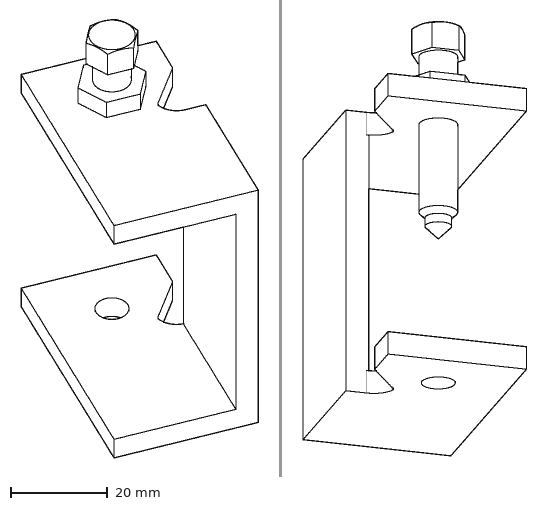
import cadquery as cq
import math

length = 53.0
depth = 32.0
height = 62.0
thickness = 5.0
web_length = 29.95
web_start = length - web_length
tongue_depth = 29.95

notch_start = 9.35
notch_radius = 5.0
notch_center_x = web_start - notch_radius
notch_center_y = 27.45
notch_corner_angle = -74.0
notch_fillet = 1.25

screw_x = 13.0
screw_y = 15.05
screw_diameter = 8.0
lower_hole_diameter = 7.0
top = 78.0
head_width = 10.0
head_height = 6.0
head_corner_drop = 0.55
head_chamfer_angle = 30.0
shank_end = 37.7
dog_diameter = 5.5
end_taper = (screw_diameter - dog_diameter) / 2
dog_start = shank_end - end_taper
cone_start = 34.55
tip_z = cone_start - dog_diameter / 2

nut_width = 13.0
nut_height = 4.05


def hex_prism(width, base_z, prism_height):
    """Hexagonal prism on the screw axis with its corners pointing along Y."""
    corner_diameter = width / math.cos(math.radians(30))
    return (
        cq.Workplane("XY")
        .polygon(6, corner_diameter)
        .extrude(prism_height)
        .rotate((0, 0, 0), (0, 0, 1), 30)
        .translate((screw_x, screw_y, base_z))
    )


def screw_cylinder(diameter, base_z, cylinder_height):
    """Cylinder on the screw axis."""
    return (
        cq.Workplane("XY", origin=(screw_x, screw_y, base_z))
        .circle(diameter / 2)
        .extrude(cylinder_height)
    )


def notch_arc_point(angle):
    """Point on the notch arc at an angle in degrees from +X."""
    return (
        notch_center_x + notch_radius * math.cos(math.radians(angle)),
        notch_center_y + notch_radius * math.sin(math.radians(angle)),
    )


def make_bracket():
    corner = notch_arc_point(notch_corner_angle)
    profile = (
        cq.Workplane("XY")
        .lineTo(length, 0)
        .lineTo(length, depth)
        .lineTo(web_start, depth)
        .lineTo(*notch_arc_point(0))
        .threePointArc(notch_arc_point(notch_corner_angle / 2), corner)
        .lineTo(notch_start, tongue_depth)
        .lineTo(0, tongue_depth)
        .close()
        .extrude(height)
    )
    body = profile.edges(cq.NearestToPointSelector((*corner, height / 2))).fillet(notch_fillet)

    inner_height = height - 2 * thickness
    front_gap = cq.Workplane("XY").box(length, depth - thickness, inner_height, centered=False)
    side_gap = cq.Workplane("XY").box(web_start, depth, inner_height, centered=False)
    body = body.cut(front_gap.union(side_gap).translate((0, 0, thickness)))

    upper_hole = screw_cylinder(screw_diameter, height - thickness, thickness)
    lower_hole = screw_cylinder(lower_hole_diameter, 0, thickness)
    return body.cut(upper_hole).cut(lower_hole)


def make_screw():
    corner_radius = head_width / 2 / math.cos(math.radians(30))
    chamfer_inset = head_corner_drop / math.tan(math.radians(head_chamfer_angle))
    crown = screw_cylinder(2 * corner_radius, top - head_height, head_height)
    crown = crown.faces(">Z").chamfer(head_corner_drop, chamfer_inset)
    head = hex_prism(head_width, top - head_height, head_height).intersect(crown)

    shank = (
        cq.Workplane("XZ")
        .moveTo(0, top - head_height)
        .lineTo(screw_diameter / 2, top - head_height)
        .lineTo(screw_diameter / 2, shank_end)
        .lineTo(dog_diameter / 2, dog_start)
        .lineTo(dog_diameter / 2, cone_start)
        .lineTo(0, tip_z)
        .close()
        .revolve(360, (0, 0, 0), (0, 1, 0))
        .translate((screw_x, screw_y, 0))
    )
    return head.union(shank)


def make_nut():
    bore = screw_cylinder(screw_diameter, height, nut_height)
    return hex_prism(nut_width, height, nut_height).cut(bore)


bracket = make_bracket()
screw = make_screw()
nut = make_nut()

result = cq.Compound.makeCompound([bracket.solids().val(), screw.solids().val(), nut.solids().val()])